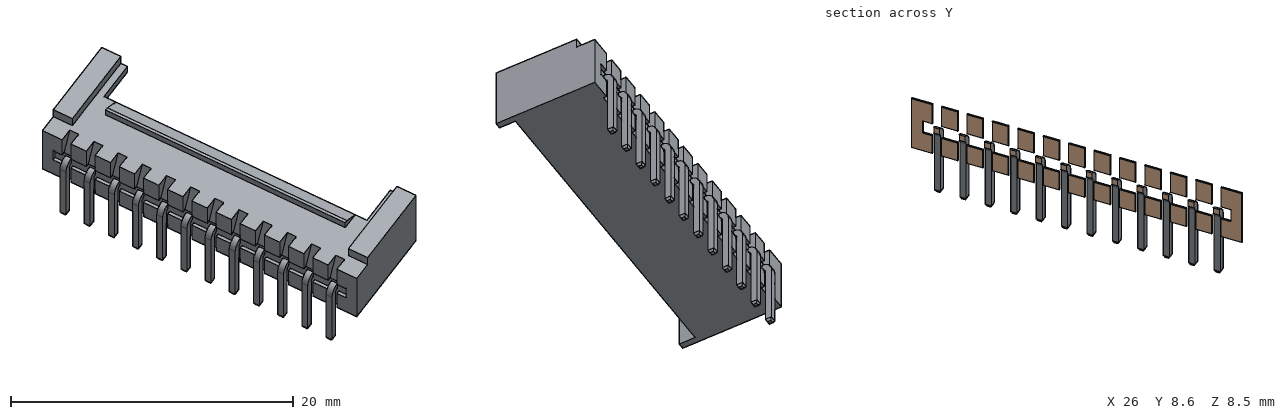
import cadquery as cq
import math


length = 26.0
depth = 8.1
body_height = 4.32
wing_height = 5.1
wing_width = 1.59
back_wall = 1.48
side_wall = 0.5
roof_thickness = 0.65
floor_thickness = roof_thickness

floor_edge_y = 6.8
roof_edge_y = 4.91
opening_margin = 2.13

ridge_length = 19.8
ridge_top_z = 4.85
ridge_front_y = 3.54
ridge_flat = 0.23

slit_length = 24.23
slit_bottom_z = 1.59
slit_top_z = 2.6
slit_depth = 0.25

pin_count = 12
pin_row_length = 22.0
pin_pitch = pin_row_length / (pin_count - 1)
pin_size = 0.5
pin_top_z = 2.37
pin_tip_z = -3.4
pin_tip_height = 0.2
pin_tip_inset = 0.1
slot_width = 0.73
slot_top_depth = 1.05


def box(x_size, y_min, y_max, z_min, z_max):
    """Box centred on X = 0 between the given Y and Z limits."""
    return (
        cq.Workplane("XY")
        .box(x_size, y_max - y_min, z_max - z_min, centered=(True, False, False))
        .translate((0, y_min, z_min))
    )


def prism(profile, x_size):
    """Extrude a closed YZ sketch symmetrically about X = 0."""
    return profile.close().extrude(x_size / 2, both=True)


def make_housing():
    housing = box(length, 0, depth, 0, body_height)

    wings = box(length, back_wall, depth, body_height, wing_height)
    wings = wings.cut(box(length - 2 * wing_width, back_wall, depth, body_height, wing_height))
    housing = housing.union(wings)

    cavity_length = length - 2 * side_wall
    opening_length = length - 2 * opening_margin
    ceiling_z = body_height - roof_thickness
    housing = housing.cut(box(cavity_length, back_wall, depth, floor_thickness, ceiling_z))
    housing = housing.cut(box(cavity_length, floor_edge_y, depth, 0, floor_thickness))
    return housing.cut(box(opening_length, roof_edge_y, depth, ceiling_z, body_height))


def make_ridge():
    """Ridge with an upright front and a ramp falling to the roof edge."""
    profile = (
        cq.Workplane("YZ")
        .moveTo(ridge_front_y, body_height)
        .lineTo(ridge_front_y, ridge_top_z)
        .lineTo(ridge_front_y + ridge_flat, ridge_top_z)
        .lineTo(roof_edge_y, body_height)
    )
    return prism(profile, ridge_length)


def make_slot():
    """Relief slot: upright up to the top of the slit, then sloping back to the roof."""
    profile = (
        cq.Workplane("YZ")
        .lineTo(slit_depth, 0)
        .lineTo(slit_depth, slit_top_z)
        .lineTo(slot_top_depth, body_height)
        .lineTo(0, body_height)
    )
    return prism(profile, slot_width)


def make_pin():
    """Square pin rooted in the back wall, bent down in front of the housing."""
    inner_radius = slit_depth
    outer_radius = inner_radius + pin_size
    bend_z = pin_top_z - outer_radius
    shank_end_z = pin_tip_z + pin_tip_height
    cos_45 = math.cos(math.radians(45))
    profile = (
        cq.Workplane("YZ")
        .moveTo(back_wall, pin_top_z)
        .lineTo(slit_depth, pin_top_z)
        .threePointArc(
            (slit_depth - outer_radius * cos_45, bend_z + outer_radius * cos_45),
            (-pin_size, bend_z),
        )
        .lineTo(-pin_size, shank_end_z)
        .lineTo(0, shank_end_z)
        .lineTo(0, bend_z)
        .threePointArc(
            (slit_depth - inner_radius * cos_45, bend_z + inner_radius * cos_45),
            (slit_depth, pin_top_z - pin_size),
        )
        .lineTo(back_wall, pin_top_z - pin_size)
    )
    tip_size = pin_size - 2 * pin_tip_inset
    tip = (
        cq.Workplane("XY", origin=(0, -pin_size / 2, shank_end_z))
        .rect(pin_size, pin_size)
        .workplane(offset=-pin_tip_height)
        .rect(tip_size, tip_size)
        .loft()
    )
    return prism(profile, pin_size).union(tip)


result = make_housing().union(make_ridge())
result = result.cut(box(slit_length, 0, slit_depth, slit_bottom_z, slit_top_z))

slot = make_slot()
pin = make_pin()
for index in range(pin_count):
    x = index * pin_pitch - pin_row_length / 2
    result = result.cut(slot.translate((x, 0, 0)))
    result = result.union(pin.translate((x, 0, 0)))